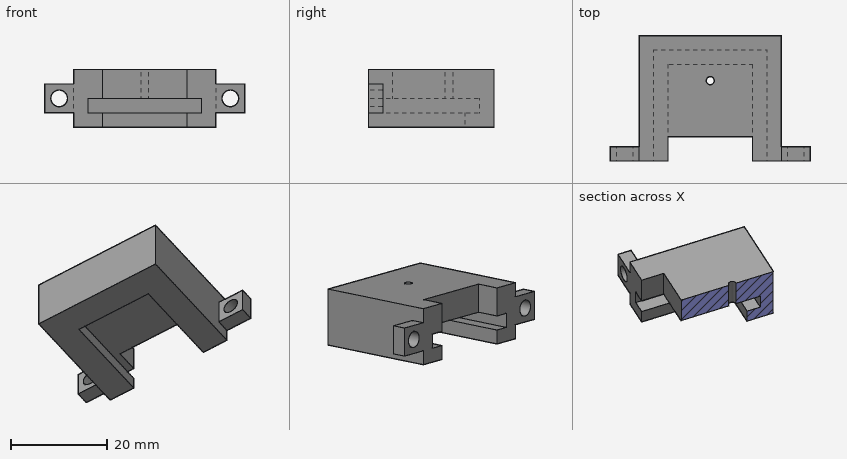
import cadquery as cq

total_width = 41.5
depth = 26.0
height = 12.0
lug_reach = 6.0
body_width = total_width - 2 * lug_reach

lug_height = height / 2
lug_thickness = 3.0
lug_hole_diameter = 3.4
lug_hole_spacing = total_width - lug_reach

notch_width = 17.5
notch_depth = 5.02

slot_width = 23.5
slot_height = height / 4
slot_depth = 23.0

lip_width = (slot_width - notch_width) / 2
opening_depth = slot_depth - lip_width
opening_height = height / 2 - slot_height

pin_hole_diameter = 1.6
pin_hole_y = 16.7


def front_box(width, length, box_height, center_z=0):
    """Box centred on X that runs back from the front face."""
    return (
        cq.Workplane("XY")
        .box(width, length, box_height, centered=(True, False, True))
        .translate((0, 0, center_z))
    )


body = front_box(body_width, depth, height)
lugs = front_box(total_width, lug_thickness, lug_height)
notch = front_box(notch_width, notch_depth, height)
slot = front_box(slot_width, slot_depth, slot_height, -slot_height / 2)
opening = front_box(notch_width, opening_depth, opening_height, (opening_height - height) / 2)

lug_holes = (
    cq.Workplane("XZ")
    .pushPoints([(side * lug_hole_spacing / 2, 0) for side in (-1, 1)])
    .circle(lug_hole_diameter / 2)
    .extrude(-lug_thickness)
)

pin_hole = (
    cq.Workplane("XY")
    .center(0, pin_hole_y)
    .circle(pin_hole_diameter / 2)
    .extrude(height / 2, both=True)
)

result = body.union(lugs).cut(notch).cut(slot).cut(opening).cut(lug_holes).cut(pin_hole)